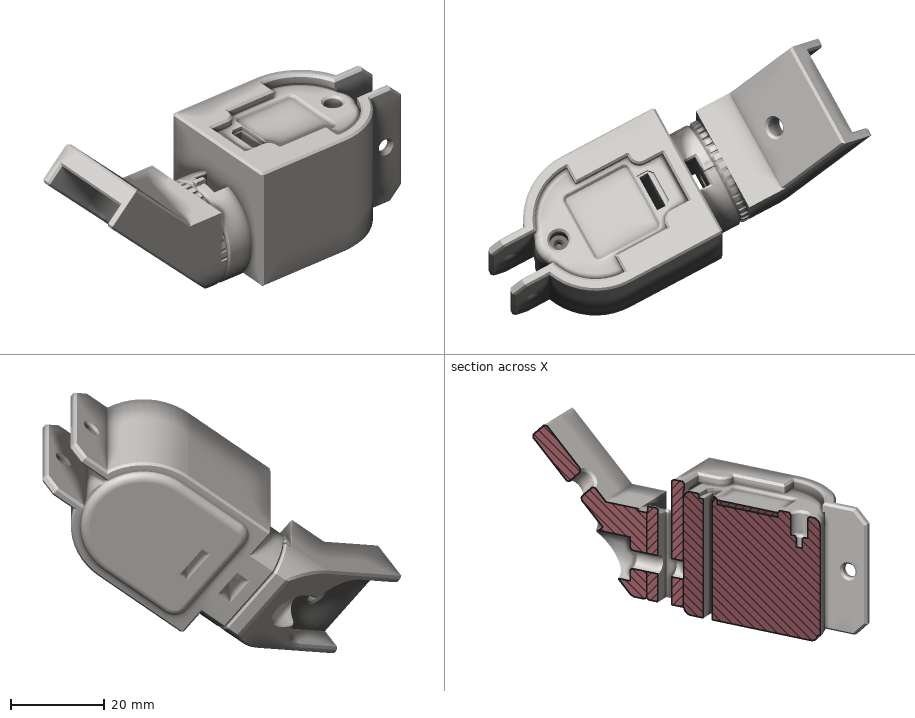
import cadquery as cq
import math


overall_length = 84.0
edge_chamfer = 0.5
wall = 2.0
bolt_hole_diameter = 4.1

housing_width = 31.2
housing_front_y = -22.8
housing_bottom_z = -8.6
housing_height = 29.0
housing_top_z = housing_bottom_z + housing_height
housing_radius = housing_width / 2

opening_radius = 13.0
opening_half_width = 9.0
opening_step_y = -12.7
opening_front_y = -19.6
opening_throat_half_width = 5.9
opening_corner_radius = 2.5

ear_gap = 7.8
ear_corner = 3.0
ear_hole_diameter = 3.1
ear_hole_from_end = 4.45
ear_root_y = 10.9

hub_radius = 12.0
hub_length = 6.3
hub_end_y = housing_front_y - hub_length
nut_slot_width = 6.9
nut_slot_length = 3.4
pointer_width = 1.0
pointer_height = 1.0
pointer_chamfer = 0.25

device_radius = housing_radius - wall
device_front_y = -19.8
device_bottom_z = -10.1
device_top_z = housing_top_z - wall
device_corner_radius = 3.45
device_fillet = 1.85
boss_radius = 5.2
boss_y = 8.9
boss_hole_depth = 5.0
pilot_hole_diameter = 1.35
pilot_hole_depth = 2.5

slot_y = -14.2
slot_mouth_width = 8.9
slot_mouth_length = 3.6
slot_mouth_chamfer = 1.0
slot_mouth_depth = 1.0
slot_width = 8.15
slot_length = 2.1
slot_offset_y = 0.3

recess_size = 16.5
recess_corner_radius = 1.5
recess_lip_width = 0.25
recess_lip_depth = 0.1
screen_y = -3.95
screen_thickness = 1.0
bevel_size = recess_size - 2 * recess_lip_width
bevel_corner_radius = recess_corner_radius - recess_lip_width
bevel_top_z = device_top_z - recess_lip_depth
screen_size = bevel_size - 2 * edge_chamfer
screen_corner_radius = bevel_corner_radius - edge_chamfer
screen_top_z = bevel_top_z - edge_chamfer

arm_top_length = 10.0
scale_ring_length = 1.9
tick_step_angle = 10
tick_width = 0.8
tick_depth = 0.5
plate_length = 21.3
plate_thickness = 10.0
plate_hole_from_knee = 6.4
pocket_floor_thickness = 4.9
counterbore_diameter = 10.0
counterbore_floor_thickness = 4.0

ring_front_y = hub_end_y - scale_ring_length
knee_y = hub_end_y - arm_top_length
tip_top_y = knee_y - plate_length / math.sqrt(2)
tip_top_z = hub_radius + plate_length / math.sqrt(2)
tip_low_y = tip_top_y - plate_thickness / math.sqrt(2)
tip_low_z = tip_top_z - plate_thickness / math.sqrt(2)
heel_y = tip_low_y + tip_low_z - housing_bottom_z
arm_end_y = tip_low_y + edge_chamfer / math.sqrt(2)
ear_end_y = overall_length + arm_end_y


def cylinder_along_y(radius, y_from, y_to):
    """Cylinder about the turning axis, running from y_from down to y_to."""
    return cq.Workplane("XZ", origin=(0, y_from, 0)).circle(radius).extrude(y_from - y_to)


def box_between(x_half, y_from, y_to, z_from, z_to):
    """Box centred on X = 0 between the given Y and Z limits."""
    return cq.Workplane("XY").box(
        2 * x_half, y_to - y_from, z_to - z_from, centered=(True, False, False)
    ).translate((0, y_from, z_from))


def countersunk_hole(plane, diameter, depth):
    """Cutter for a hole going from a plane against its normal, with a chamfered mouth."""
    mouth_radius = diameter / 2 + edge_chamfer
    hole = cq.Workplane(plane).circle(diameter / 2).extrude(-depth)
    mouth = cq.Workplane(plane).circle(mouth_radius).extrude(-edge_chamfer, taper=45)
    return hole.union(mouth)


def rear_rounded_outline(radius, front_y, z):
    """Outline with a straight front and a semicircular rear about the origin."""
    return (
        cq.Workplane("XY", origin=(0, 0, z))
        .moveTo(-radius, 0)
        .lineTo(-radius, front_y)
        .lineTo(radius, front_y)
        .lineTo(radius, 0)
        .threePointArc((0, radius), (-radius, 0))
        .close()
    )


def device_cavity():
    """The straight-sided envelope of the device, without its rounded top and bottom edges."""
    return (
        rear_rounded_outline(device_radius, device_front_y, device_bottom_z)
        .extrude(device_top_z - device_bottom_z)
        .edges("|Z and <Y")
        .fillet(device_corner_radius)
    )


def make_ear(side):
    """Clamp ear with cut corners, chamfered on both faces and round its hole."""
    inner_x = ear_gap / 2 if side > 0 else -ear_gap / 2 - wall
    hole_z = housing_bottom_z + housing_height / 2
    return (
        cq.Workplane("YZ", origin=(inner_x, 0, 0))
        .moveTo(ear_root_y, housing_bottom_z)
        .lineTo(ear_end_y - ear_corner, housing_bottom_z)
        .lineTo(ear_end_y, housing_bottom_z + ear_corner)
        .lineTo(ear_end_y, housing_top_z - ear_corner)
        .lineTo(ear_end_y - ear_corner, housing_top_z)
        .lineTo(ear_root_y, housing_top_z)
        .close()
        .moveTo(ear_end_y - ear_hole_from_end, hole_z)
        .circle(ear_hole_diameter / 2)
        .extrude(wall)
        .faces("<X or >X")
        .chamfer(edge_chamfer)
    )


def opening_outline(z):
    """Stepped opening in the top lip: a half disc, a middle part and a narrow throat."""
    arc_start_x = opening_throat_half_width + opening_corner_radius
    arc_end_y = opening_step_y - opening_corner_radius
    arc_mid = opening_corner_radius * (1 - math.sqrt(0.5))
    mid_x = opening_throat_half_width + arc_mid
    mid_y = opening_step_y - arc_mid
    return (
        cq.Workplane("XY", origin=(0, 0, z))
        .moveTo(-opening_radius, 0)
        .lineTo(-opening_half_width, 0)
        .lineTo(-opening_half_width, opening_step_y)
        .lineTo(-arc_start_x, opening_step_y)
        .threePointArc((-mid_x, mid_y), (-opening_throat_half_width, arc_end_y))
        .lineTo(-opening_throat_half_width, opening_front_y)
        .lineTo(opening_throat_half_width, opening_front_y)
        .lineTo(opening_throat_half_width, arc_end_y)
        .threePointArc((mid_x, mid_y), (arc_start_x, opening_step_y))
        .lineTo(opening_half_width, opening_step_y)
        .lineTo(opening_half_width, 0)
        .lineTo(opening_radius, 0)
        .threePointArc((0, opening_radius), (-opening_radius, 0))
        .close()
    )


def make_hub():
    """Hub with a flat bottom, a chamfered front rim, a nut slot and a pointer."""
    slot_end_y = housing_front_y - nut_slot_length
    hub = cylinder_along_y(hub_radius, device_front_y - wall, hub_end_y)
    hub = hub.intersect(
        box_between(hub_radius, hub_end_y, housing_front_y + wall, housing_bottom_z, hub_radius)
    )
    hub = hub.faces("<Y").chamfer(edge_chamfer)
    slot = box_between(
        nut_slot_width / 2, slot_end_y, housing_front_y, housing_bottom_z, hub_radius
    )
    hub = hub.cut(slot)
    slot_rim = cq.selectors.BoxSelector(
        (-nut_slot_width, slot_end_y - edge_chamfer, hub_radius / 2),
        (nut_slot_width, housing_front_y - edge_chamfer, hub_radius + edge_chamfer),
    )
    hub = hub.edges(slot_rim).chamfer(edge_chamfer)
    pointer = box_between(
        pointer_width / 2,
        hub_end_y + pointer_chamfer,
        slot_end_y,
        hub_radius - edge_chamfer,
        hub_radius + pointer_height,
    ).edges("|X and >Z").chamfer(pointer_chamfer)
    return hub.union(pointer)


def make_housing():
    housing = (
        rear_rounded_outline(housing_radius, housing_front_y, housing_bottom_z)
        .extrude(housing_height)
        .edges("(|Z and <Y) or (#Z)")
        .chamfer(edge_chamfer)
    )

    gap_half = (ear_gap + wall) / 2
    housing = housing.cut(
        box_between(gap_half, 0, housing_radius, housing_bottom_z, housing_top_z)
    )
    for side in (-1, 1):
        housing = housing.union(make_ear(side))

    housing = housing.cut(device_cavity())
    housing = housing.cut(opening_outline(device_top_z).extrude(wall))
    opening_flare = opening_outline(housing_top_z - edge_chamfer).extrude(edge_chamfer, taper=-45)
    housing = housing.cut(opening_flare)

    housing = housing.union(make_hub())
    return housing.cut(cylinder_along_y(bolt_hole_diameter / 2, device_front_y, hub_end_y))


def rounded_square(size, corner_radius, z, depth, taper=0):
    """Square block centred on the screen, going down from z and narrowing by the taper angle."""
    outline = cq.Sketch().rect(size, size).vertices().fillet(corner_radius)
    start = cq.Workplane("XY", origin=(0, screen_y, z))
    return start.placeSketch(outline).extrude(-depth, taper=taper)


def make_screen():
    """Flat plate that lies on the floor of the recess."""
    return rounded_square(screen_size, screen_corner_radius, screen_top_z, screen_thickness)


def screen_recess():
    """Cutter for the softened mouth, the bevel and the seat of the screen."""
    lip_taper = math.degrees(math.atan2(recess_lip_width, recess_lip_depth))
    lip = rounded_square(recess_size, recess_corner_radius, device_top_z, recess_lip_depth, lip_taper)
    bevel = rounded_square(bevel_size, bevel_corner_radius, bevel_top_z, edge_chamfer, 45)
    return lip.union(bevel).union(make_screen())


def make_device():
    boss = (
        cq.Workplane("XY", origin=(0, boss_y, housing_bottom_z))
        .circle(boss_radius)
        .extrude(device_top_z - housing_bottom_z)
        .faces(">Z")
        .edges()
        .fillet(device_fillet)
    )
    device = device_cavity().faces("<Z or >Z").edges().fillet(device_fillet).union(boss)

    top_plane = cq.Plane(origin=(0, boss_y, device_top_z))
    floor_plane = cq.Plane(origin=(0, boss_y, device_top_z - boss_hole_depth))
    device = device.cut(countersunk_hole(top_plane, bolt_hole_diameter, boss_hole_depth))
    device = device.cut(countersunk_hole(floor_plane, pilot_hole_diameter, pilot_hole_depth))

    slot_mouth = (
        cq.Workplane("XY", origin=(0, slot_y, device_top_z))
        .rect(slot_mouth_width, slot_mouth_length)
        .extrude(-slot_mouth_depth)
        .edges("|Z and <Y")
        .chamfer(slot_mouth_chamfer)
    )
    slot = (
        cq.Workplane("XY", origin=(0, slot_y + slot_offset_y, device_top_z))
        .rect(slot_width, slot_length)
        .extrude(device_bottom_z - device_top_z)
    )
    return device.cut(slot_mouth).cut(slot).cut(screen_recess())


def scale_tick(angle):
    """Cutter for one groove across the scale ring, turned from the top by an angle in degrees."""
    groove = box_between(
        tick_width / 2,
        ring_front_y,
        hub_end_y,
        hub_radius - tick_depth,
        hub_radius + tick_depth,
    )
    return groove.rotate((0, 0, 0), (0, 1, 0), angle)


def make_scale_ring():
    """Round end of the arm against the hub, with grooves across its upper half."""
    ring = cylinder_along_y(hub_radius, hub_end_y, ring_front_y).intersect(
        box_between(hub_radius, ring_front_y, hub_end_y, housing_bottom_z, hub_radius)
    )
    ring = ring.faces(">Y").chamfer(edge_chamfer)
    for angle in range(-90, 91, tick_step_angle):
        ring = ring.cut(scale_tick(angle))
    return ring


def make_arm():
    bar = (
        cq.Workplane("YZ", origin=(-hub_radius, 0, 0))
        .moveTo(ring_front_y, hub_radius)
        .lineTo(knee_y, hub_radius)
        .lineTo(tip_top_y, tip_top_z)
        .lineTo(tip_low_y, tip_low_z)
        .lineTo(heel_y, housing_bottom_z)
        .lineTo(ring_front_y, housing_bottom_z)
        .close()
        .extrude(2 * hub_radius)
    )
    u_shape = cylinder_along_y(hub_radius, hub_end_y, tip_low_y).union(
        box_between(hub_radius, tip_low_y, hub_end_y, 0, tip_top_z)
    )
    arm = bar.intersect(u_shape)
    arm = arm.faces("+(0,1,1)").edges("not(<(0,-1,1))").chamfer(edge_chamfer)

    hole_y = knee_y - plate_hole_from_knee / math.sqrt(2)
    hole_z = hub_radius + plate_hole_from_knee / math.sqrt(2)
    top_plane = cq.Plane(origin=(0, hole_y, hole_z), xDir=(1, 0, 0), normal=(0, 1, 1))
    pocket_plane = cq.Plane(
        origin=top_plane.toWorldCoords((0, 0, -pocket_floor_thickness)),
        xDir=(1, 0, 0),
        normal=(0, -1, -1),
    )
    pocket_radius = hub_radius - wall
    pocket = (
        cq.Workplane(pocket_plane)
        .moveTo(-pocket_radius, 0)
        .threePointArc((0, -pocket_radius), (pocket_radius, 0))
        .lineTo(pocket_radius, plate_length)
        .lineTo(-pocket_radius, plate_length)
        .close()
        .extrude(plate_thickness)
    )
    arm = arm.cut(pocket)
    tip_mouth = cq.selectors.BoxSelector(
        (-pocket_radius - edge_chamfer, tip_low_y - edge_chamfer, 0),
        (pocket_radius + edge_chamfer, tip_top_y - edge_chamfer, tip_top_z - edge_chamfer),
    )
    tip_edges = arm.faces("+(0,-1,1)").edges(tip_mouth)
    arm = arm.faces("+(0,-1,-1)").faces(">(0,-1,-1)").edges().add(tip_edges).chamfer(edge_chamfer)

    arm = arm.cut(countersunk_hole(top_plane, bolt_hole_diameter, plate_thickness))
    arm = arm.cut(countersunk_hole(pocket_plane, bolt_hole_diameter, edge_chamfer))

    floor_y = hub_end_y - counterbore_floor_thickness
    floor_plane = cq.Plane(origin=(0, floor_y, 0), xDir=(1, 0, 0), normal=(0, -1, 0))
    arm = arm.union(make_scale_ring())
    arm = arm.cut(cylinder_along_y(counterbore_diameter / 2, floor_y, tip_low_y))
    arm = arm.cut(countersunk_hole(floor_plane, bolt_hole_diameter, counterbore_floor_thickness))
    return arm


housing = make_housing()
device = make_device()
screen = make_screen()
arm = make_arm()

bodies = (housing, device, screen, arm)
result = cq.Compound.makeCompound([body.solids().val() for body in bodies])